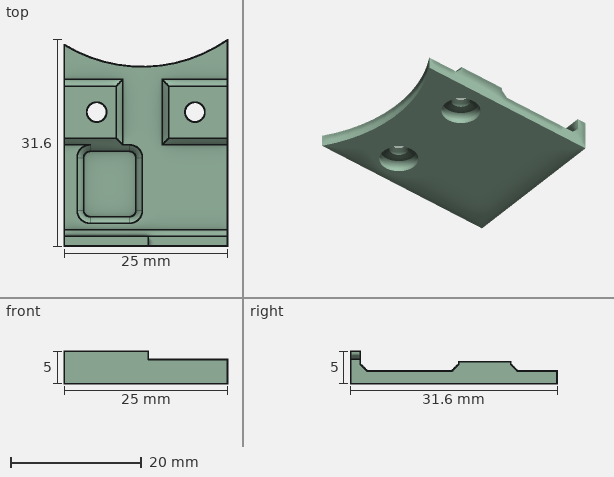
import cadquery as cq

width = 25.0
length = 31.57
plate_thickness = 2.0
slope = 1.0

left_edge_length = 30.85
arc_low_x = 12.0
arc_low_y = 27.47

wall_thickness = 1.5
wall_height = 5.0
low_wall_height = 3.73
wall_step_x = 12.88

pad_front_y = 15.5
pad_length = 10.0
pad_height = 3.4
left_pad_width = 9.0
right_pad_width = 10.0
hole_edge_distance = 5.0
hole_diameter = 3.0
counterbore_diameter = 6.0
counterbore_depth = 2.0

pocket_left_x = 2.0
pocket_width = 10.0
pocket_front_y = 3.5
pocket_length = pad_front_y - pocket_front_y
pocket_corner_radius = 2.0
pocket_depth = slope


def box(x, y, z, size_x, size_y, size_z):
    """Box placed by its lowest corner."""
    return cq.Workplane("XY").box(size_x, size_y, size_z, centered=False).translate((x, y, z))


def make_plate():
    return (
        cq.Workplane("XY")
        .lineTo(width, 0)
        .lineTo(width, length)
        .threePointArc((arc_low_x, arc_low_y), (0, left_edge_length))
        .close()
        .extrude(plate_thickness)
    )


def make_wall():
    """Full-width wall with a sloped foot, lowered right of the step."""
    foot_top = plate_thickness + slope
    wall = (
        cq.Workplane("YZ")
        .lineTo(wall_thickness + slope, 0)
        .lineTo(wall_thickness + slope, plate_thickness)
        .lineTo(wall_thickness, foot_top)
        .lineTo(wall_thickness, wall_height)
        .lineTo(0, wall_height)
        .close()
        .extrude(width)
    )
    step = box(wall_step_x, 0, low_wall_height, width, wall_thickness, wall_height)
    return wall.cut(step)


def make_pad(start_x, pad_width):
    """Flared pad, one slope wider than its visible width and trimmed at the plate's side edge."""
    full_width = pad_width + slope
    center = (start_x + full_width / 2, pad_front_y + pad_length / 2)
    flare = (
        cq.Workplane("XY", origin=(*center, plate_thickness))
        .rect(full_width, pad_length)
        .extrude(slope, taper=45)
    )
    top = (
        cq.Workplane("XY", origin=(*center, 0))
        .rect(full_width - 2 * slope, pad_length - 2 * slope)
        .extrude(pad_height)
    )
    return flare.union(top).intersect(box(0, 0, 0, width, length, wall_height))


def make_pocket_cutter():
    """Rounded rectangle that narrows downward at 45 degrees."""
    return (
        cq.Workplane("XY", origin=(
            pocket_left_x + pocket_width / 2,
            pocket_front_y + pocket_length / 2,
            plate_thickness,
        ))
        .sketch()
        .rect(pocket_width, pocket_length)
        .vertices()
        .fillet(pocket_corner_radius)
        .finalize()
        .extrude(-pocket_depth, taper=45)
    )


def make_hole(x):
    """Through hole, counterbored from the underside."""
    axis = cq.Workplane("XY", origin=(x, pad_front_y + pad_length / 2, 0))
    bore = axis.circle(hole_diameter / 2).extrude(pad_height)
    return bore.union(axis.circle(counterbore_diameter / 2).extrude(counterbore_depth))


result = (
    make_plate()
    .union(make_wall())
    .union(make_pad(-slope, left_pad_width))
    .union(make_pad(width - right_pad_width, right_pad_width))
    .cut(make_pocket_cutter())
)
for hole_x in (hole_edge_distance, width - hole_edge_distance):
    result = result.cut(make_hole(hole_x))